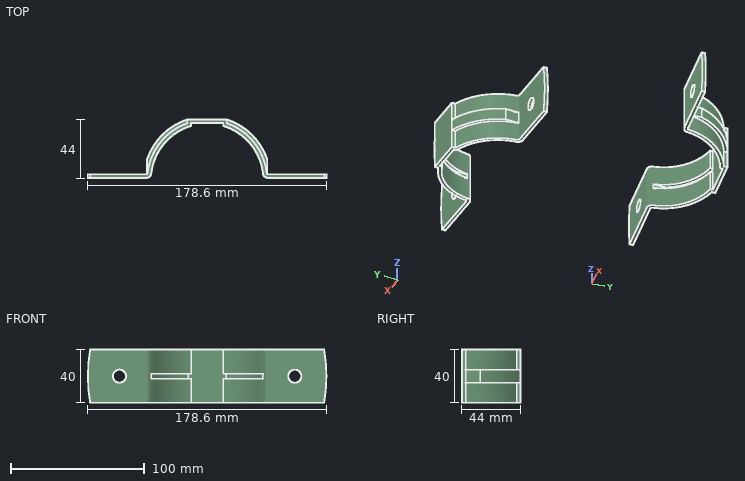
import cadquery as cq
import math


length = 178.6
depth = 44.0
width = 40.0
thickness = 2.9

ring_center_y = -1.3
ring_inner_radius = 42.0
ring_outer_radius = ring_inner_radius + thickness
bend_inner_radius = 1.0
bend_outer_radius = bend_inner_radius + thickness

crown_outer_half_length = 14.8
crown_inner_half_length = 12.0
crown_overlap = 0.5

groove_width = 3.8
rib_width = groove_width + 2 * thickness
rib_rise = 2.7
rib_outer_radius = ring_outer_radius + rib_rise
groove_radius = rib_outer_radius - thickness
rib_half_span = 45.0
groove_half_span = rib_half_span - thickness

foot_end_bow = 1.8
hole_diameter = 9.6
hole_offset = 65.5


def block(half_length, y_low, y_high, height):
    """Box centered on X = 0 and Z = 0, between two Y levels."""
    size_y = y_high - y_low
    return cq.Workplane("XY").box(2 * half_length, size_y, height).translate((0, (y_low + y_high) / 2, 0))


def disc(radius, height):
    """Cylinder along Z on the ring axis, centered on Z = 0."""
    return cq.Workplane("XY").center(0, ring_center_y).circle(radius).extrude(height / 2, both=True)


def ring_half_span(radius):
    """Distance from X = 0 to a ring face at the level where the bends begin."""
    return math.sqrt(radius**2 - (bend_outer_radius - ring_center_y) ** 2)


def make_band():
    """Constant-section strip: half ring, quarter-circle bends and straight feet."""
    half_length = length / 2
    inner_x = ring_half_span(ring_inner_radius)
    outer_x = ring_half_span(ring_outer_radius)
    bend_center_x = inner_x + bend_outer_radius
    foot_bend_x = outer_x + bend_inner_radius
    profile = (
        cq.Workplane("XY")
        .moveTo(-half_length, 0)
        .lineTo(-bend_center_x, 0)
        .radiusArc((-inner_x, bend_outer_radius), -bend_outer_radius)
        .threePointArc((0, ring_center_y + ring_inner_radius), (inner_x, bend_outer_radius))
        .radiusArc((bend_center_x, 0), -bend_outer_radius)
        .lineTo(half_length, 0)
        .lineTo(half_length, thickness)
        .lineTo(foot_bend_x, thickness)
        .radiusArc((outer_x, bend_outer_radius), bend_inner_radius)
        .threePointArc((0, ring_center_y + ring_outer_radius), (-outer_x, bend_outer_radius))
        .radiusArc((-foot_bend_x, thickness), bend_inner_radius)
        .lineTo(-half_length, thickness)
        .close()
    )
    return profile.extrude(width / 2, both=True)


def make_foot_outline():
    """Full-depth block with bowed ends that trims the feet."""
    straight_half = length / 2 - foot_end_bow
    return (
        cq.Workplane("XZ")
        .moveTo(-straight_half, -width / 2)
        .lineTo(straight_half, -width / 2)
        .threePointArc((length / 2, 0), (straight_half, width / 2))
        .lineTo(-straight_half, width / 2)
        .threePointArc((-length / 2, 0), (-straight_half, -width / 2))
        .close()
        .extrude(-depth)
    )


def make_foot_holes():
    """Fixing holes through the feet."""
    return (
        cq.Workplane("XZ")
        .pushPoints([(-hole_offset, 0), (hole_offset, 0)])
        .circle(hole_diameter / 2)
        .extrude(-thickness)
    )


def make_rib():
    """Raised arc, limited sideways by flat flanks and above by the crown."""
    envelope = block(rib_half_span, thickness / 2, depth, rib_width)
    mid_wall_radius = (ring_inner_radius + ring_outer_radius) / 2
    return disc(rib_outer_radius, rib_width).intersect(envelope).cut(disc(mid_wall_radius, rib_width))


def make_groove():
    """Hollow of the rib, open toward the ring axis."""
    envelope = block(groove_half_span, bend_outer_radius, depth - thickness, groove_width)
    return disc(groove_radius, groove_width).intersect(envelope)


crown = block(crown_outer_half_length, depth - thickness - crown_overlap, depth, width)
crown_recess = block(crown_inner_half_length, 0, depth - thickness, width)

band = make_band().intersect(make_foot_outline()).cut(make_foot_holes())
result = band.union(make_rib()).union(crown).cut(crown_recess).cut(make_groove())